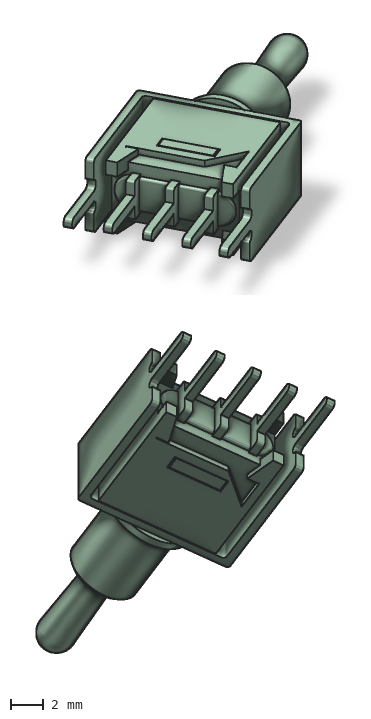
import cadquery as cq
import math


total_length = 25.45
lever_tip_y = 12.75
lever_ball_radius = 1.25
lever_root_radius = 1.07
bushing_end_y = 6.13
bushing_radius = 2.37
bushing_chamfer = 0.3
flange_thickness = 0.5
flange_radius = 3.0

bracket_width = 10.66
bracket_height = 5.15
plate_thickness = 0.5
leg_thickness = 0.55
outer_bend_radius = 0.2
inner_bend_radius = 0.25
leg_end_y = -8.98
leg_corner_radius = 0.3
bracket_tail_end_y = lever_tip_y - total_length
tail_width = 0.75
relief_radius = 0.38
relief_edge_radius = 0.15

housing_width = 8.25
housing_height = 4.96
rim_width = 0.53
core_height = 4.07
core_end_y = -7.58
pad_end_y = -6.52
pad_bevel_x = 2.1
pad_bevel_y = 2.0
tooth_width = 3.77
tooth_back_y = -4.89
tooth_front_y = -5.83
tooth_height = 0.05
tooth_slope = 0.1

hook_back_y = -6.6
hook_end_y = -8.6
hook_height = 1.0
hook_root_x = 2.77
hook_end_x = 3.38

boss_length = 7.9
boss_height = 2.4
boss_end_y = -7.85
boss_edge_radius = 0.23

terminal_pitch = 2.55
terminal_thickness = 0.55
terminal_base_height = 2.7
terminal_base_end_y = -8.6
terminal_corner_radius = 0.2
terminal_tail_end_y = -12.45


def block(width, y_start, y_end, z_bottom, z_top):
    """Box centred on X, spanning the given Y and Z ranges."""
    box = cq.Workplane("XY").box(width, abs(y_end - y_start), z_top - z_bottom)
    return box.translate((0, (y_start + y_end) / 2, (z_bottom + z_top) / 2))


def tail(thickness, y_start, y_end):
    """Solder tail lying in the YZ plane with a full-round tip."""
    half = tail_width / 2
    outline = (
        cq.Workplane("YZ")
        .moveTo(y_start, half)
        .lineTo(y_end + half, half)
        .threePointArc((y_end, 0), (y_end + half, -half))
        .lineTo(y_start, -half)
        .close()
    )
    return outline.extrude(thickness / 2, both=True)


def make_lever_and_bushing():
    ball_y = lever_tip_y - lever_ball_radius
    ball_arc = lever_ball_radius * math.sqrt(0.5)
    profile = (
        cq.Workplane("XY")
        .moveTo(0, -plate_thickness)
        .lineTo(bushing_radius, -plate_thickness)
        .lineTo(bushing_radius, 0)
        .lineTo(flange_radius, 0)
        .lineTo(flange_radius, flange_thickness)
        .lineTo(bushing_radius, flange_thickness)
        .lineTo(bushing_radius, bushing_end_y - bushing_chamfer)
        .lineTo(bushing_radius - bushing_chamfer, bushing_end_y)
        .lineTo(lever_root_radius, bushing_end_y)
        .lineTo(lever_ball_radius, ball_y)
        .threePointArc((ball_arc, ball_y + ball_arc), (0, lever_tip_y))
        .close()
    )
    return profile.revolve(360, (0, 0, 0), (0, 1, 0))


def make_bracket():
    half_height = bracket_height / 2
    leg_gap = bracket_width - 2 * leg_thickness
    shell = block(bracket_width, 0, leg_end_y, -half_height, half_height)
    shell = shell.edges("|Z and >Y").fillet(outer_bend_radius)
    shell = shell.edges("|X and <Y").fillet(leg_corner_radius)

    relief_z = tail_width / 2 + relief_radius
    for side in (-1, 1):
        relief = (
            cq.Workplane("YZ")
            .center(leg_end_y, side * relief_z)
            .circle(relief_radius)
            .extrude(bracket_width, both=True)
        )
        shell = shell.cut(relief)
        edge_point = (0, leg_end_y, side * (relief_z + relief_radius))
        outer_edge = cq.selectors.NearestToPointSelector(edge_point)
        shell = shell.edges(outer_edge).fillet(relief_edge_radius)

    opening_end_y = leg_end_y - leg_corner_radius
    opening = block(leg_gap, -plate_thickness, opening_end_y, -bracket_height, bracket_height)
    shell = shell.cut(opening.edges("|Z and >Y").fillet(inner_bend_radius))

    leg_x = (bracket_width - leg_thickness) / 2
    for side in (-1, 1):
        leg_tail = tail(leg_thickness, leg_end_y + relief_radius, bracket_tail_end_y)
        shell = shell.union(leg_tail.translate((side * leg_x, 0, 0)))
    return shell


def make_pad():
    """Upper raised pad with one bevelled corner and a low latch tooth, sloped at its back and sides."""
    half_width = housing_width / 2 - rim_width
    top_z = housing_height / 2
    pad = (
        cq.Workplane("XY")
        .moveTo(-half_width, -plate_thickness)
        .lineTo(half_width, -plate_thickness)
        .lineTo(half_width, pad_end_y + pad_bevel_y)
        .lineTo(half_width - pad_bevel_x, pad_end_y)
        .lineTo(-half_width, pad_end_y)
        .close()
        .extrude(top_z)
    )
    tooth_centre_y = (tooth_back_y + tooth_front_y) / 2
    tooth_length = tooth_back_y - tooth_front_y
    tooth = (
        cq.Workplane("XY", origin=(0, tooth_centre_y, top_z))
        .rect(tooth_width, tooth_length)
        .workplane(offset=tooth_height)
        .center(0, -tooth_slope / 2)
        .rect(tooth_width - 2 * tooth_slope, tooth_length - tooth_slope)
        .loft()
    )
    return pad.union(tooth)


def make_hook():
    """Upper right tapered hook."""
    outer_x = housing_width / 2
    outline = (
        cq.Workplane("XY")
        .workplane(offset=housing_height / 2 - hook_height)
        .moveTo(outer_x, hook_back_y)
        .lineTo(hook_root_x, hook_back_y)
        .lineTo(hook_end_x, hook_end_y)
        .lineTo(outer_x, hook_end_y)
        .close()
    )
    return outline.extrude(hook_height)


def make_boss():
    boss = (
        cq.Workplane("XZ", origin=(0, core_end_y, 0))
        .slot2D(boss_length, boss_height)
        .extrude(core_end_y - boss_end_y)
    )
    return boss.faces("<Y").edges().fillet(boss_edge_radius)


def make_housing():
    half_height = housing_height / 2
    rim_gap = housing_width - 2 * rim_width
    housing = block(housing_width, -plate_thickness, core_end_y, -half_height, half_height)
    channel = block(rim_gap, -plate_thickness, core_end_y, core_height / 2, half_height)
    housing = housing.cut(channel).cut(channel.mirror("XY"))

    pad = make_pad()
    hook = make_hook()
    hooks = hook.union(hook.mirror("YZ"))
    for upper in (pad, hooks):
        housing = housing.union(upper).union(upper.mirror("XY"))
    return housing.union(make_boss())


def make_terminal():
    half_height = terminal_base_height / 2
    base = block(terminal_thickness, core_end_y, terminal_base_end_y, -half_height, half_height)
    base = base.edges("|X and <Y").fillet(terminal_corner_radius)
    return base.union(tail(terminal_thickness, core_end_y, terminal_tail_end_y))


result = make_bracket().union(make_housing()).union(make_lever_and_bushing())
for position in (-1, 0, 1):
    result = result.union(make_terminal().translate((position * terminal_pitch, 0, 0)))